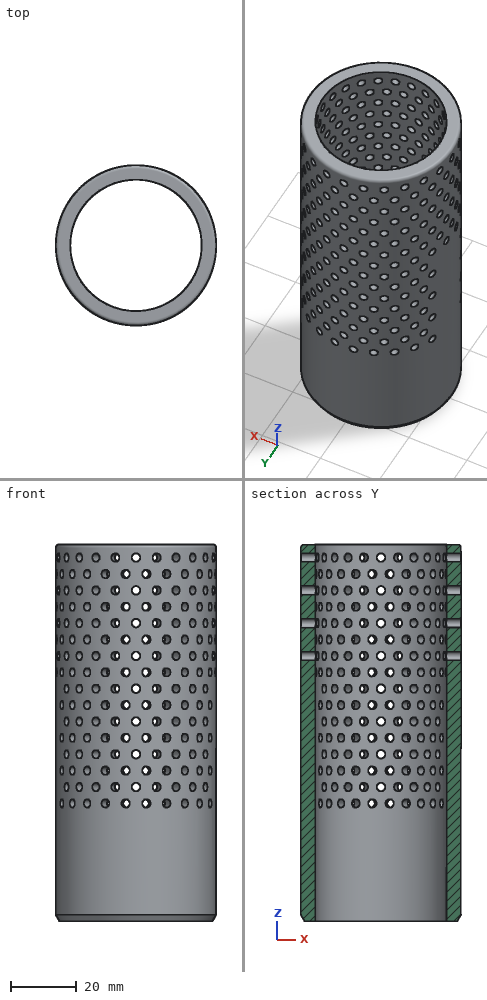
import cadquery as cq
import math

LENGTH = 115.0
OUTER_DIAMETER = 49.0
BORE_DIAMETER = 40.0
TOP_ROUNDING = 1.0
BOTTOM_CHAMFER_HEIGHT = 2.0
BOTTOM_CHAMFER_WIDTH = 1.2

HOLE_DIAMETER = 2.5
HOLES_PER_ROW = 24
ROW_COUNT = 16
ROWS_SPAN = 75.0
ROW_PITCH = ROWS_SPAN / (ROW_COUNT - 1)
FIRST_ROW_DEPTH = 4.0
DRILL_OVERSHOOT = 1.2
ANGLE_STEP = 360 / HOLES_PER_ROW

FULL_ROW_COUNT = 8
PLAIN_STRIP_HALF_ANGLE = 20.0


def make_sleeve():
    """Turned tube, standing on Z = 0, outer rim rounded at the top and bevelled at the bottom."""
    outer_radius = OUTER_DIAMETER / 2
    bore_radius = BORE_DIAMETER / 2
    return (
        cq.Workplane("XZ")
        .moveTo(-bore_radius, 0)
        .lineTo(-outer_radius + BOTTOM_CHAMFER_WIDTH, 0)
        .lineTo(-outer_radius, BOTTOM_CHAMFER_HEIGHT)
        .lineTo(-outer_radius, LENGTH - TOP_ROUNDING)
        .radiusArc((-outer_radius + TOP_ROUNDING, LENGTH), TOP_ROUNDING)
        .lineTo(-bore_radius, LENGTH)
        .close()
        .revolve(360, (0, 0, 0), (0, 1, 0))
    )


def hole_angles(row):
    """Angles, measured from +X, of the holes in a row."""
    stagger = ANGLE_STEP / 2 if row % 2 else 0
    angles = [stagger + i * ANGLE_STEP for i in range(HOLES_PER_ROW)]
    if row < FULL_ROW_COUNT:
        return angles
    strip_half_width = math.sin(math.radians(PLAIN_STRIP_HALF_ANGLE))
    return [a for a in angles if abs(math.sin(math.radians(a))) > strip_half_width]


def make_row_drills(row):
    """Short radial cylinders that pierce the wall along one row."""
    height = LENGTH - FIRST_ROW_DEPTH - row * ROW_PITCH
    start_radius = BORE_DIAMETER / 2 - DRILL_OVERSHOOT
    end_radius = OUTER_DIAMETER / 2 + DRILL_OVERSHOOT
    drill = cq.Solid.makeCylinder(
        HOLE_DIAMETER / 2,
        end_radius - start_radius,
        cq.Vector(start_radius, 0, height),
        cq.Vector(1, 0, 0),
    )
    return [drill.rotate((0, 0, 0), (0, 0, 1), angle) for angle in hole_angles(row)]


drills = [drill for row in range(ROW_COUNT) for drill in make_row_drills(row)]
result = make_sleeve().cut(cq.Workplane(cq.Compound.makeCompound(drills)))